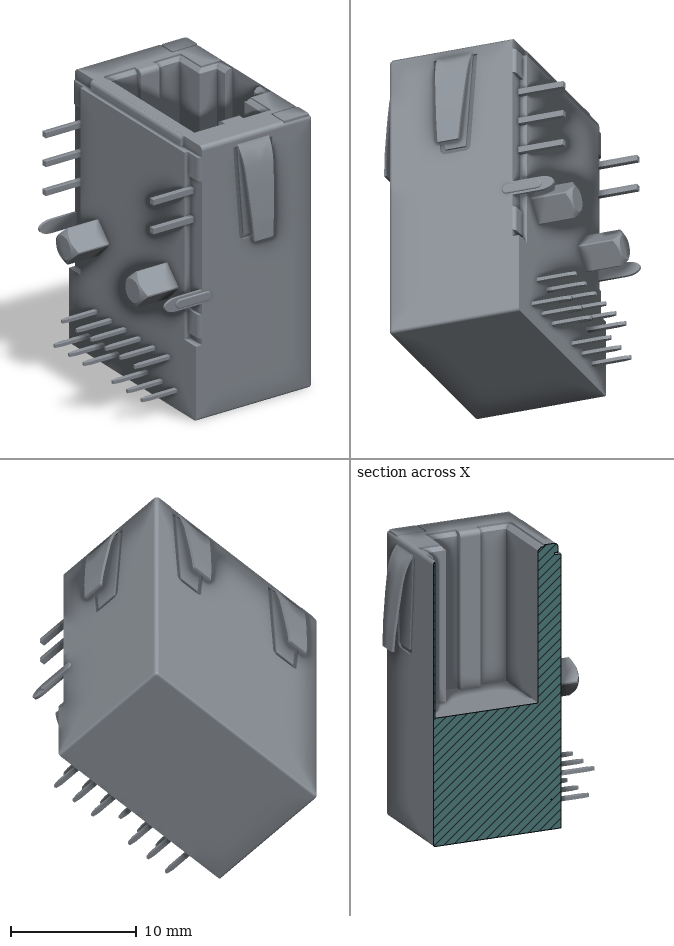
import cadquery as cq


width = 17.81
depth = 11.27
height = 24.05
half_width = width / 2
back_fillet = 0.31
bottom_fillet = 0.22
top_fillet = 0.38
shell_thickness = 0.2

strip_recess = 0.58
panel_half_width = 7.3
panel_top = 23.08
strip_bottom = 6.59
lip_half_width = 6.35
lip_front = 0.3
lip_bottom = 23.2
flap_front = 0.31
flap_height = 2.07
flap_bottoms = (7.16, panel_top - flap_height)

mouth_half_width = 6.35
mouth_front = 1.5
mouth_shoulder = 9.05
key_half_width = 3.5
key_back = 10.72
mouth_step = 0.15
mouth_corner = 0.25
key_ledge_back = 10.99
step_inset = 0.1
step_front_inset = 0.3
mouth_chamfer = 0.3
cavity_depth = 13.22
latch_half_width = 2.02
latch_rim_half_width = 2.52
rib_half_gap = 5.4
rib_front = 4.57
rib_back = 6.35
rib_fillet = 0.45

pad_x = (7.02, 8.63)
pad_y = (8.7, 11.15)
pad_fillet = 0.2
pocket_margin = 0.12
pocket_depth = 0.2

spring_reach = 1.56
spring_thickness = 0.22
spring_top = 23.37
spring_tip = 15.25
spring_top_half = 1.51
spring_tip_half = 0.9
spring_gap = 0.38
slot_corner = 0.48
side_spring_y = 5.5
back_spring_x = 5.26

pin_length = 3.35
side_pin_size = 0.48
side_pin_pitch = 2.55
side_pin_top_z = 19.75
signal_pin_width = 0.4
signal_pin_thickness = 0.3
signal_tip_width = 0.22
signal_taper = 0.6
lower_row_span = 12.21
signal_pitch = lower_row_span / 6
upper_row_z = 4.23
lower_row_z = 1.68
post_x = 4.85
post_z = 10.85
post_side = 2.33
post_corner_radius = 1.59
post_tip_radius = 1.0
post_taper = 0.38
tab_z = 10.82
tab_thickness = 0.25
tab_height = 1.18
tab_back = 0.95
tab_straight_end = -1.8
tab_end = -3.0
bead_back = 1.45
bead_front = -1.97
bead_height = 0.8
bead_protrusion = 0.12
bead_fillet = 0.1


def block(x_range, y_range, z_range):
    """Axis-aligned box spanning three (low, high) ranges."""
    sizes = [high - low for low, high in (x_range, y_range, z_range)]
    corner = (x_range[0], y_range[0], z_range[0])
    return cq.Workplane("XY").box(*sizes, centered=False).translate(corner)


def both_sides(solid):
    """A solid together with its mirror image across the YZ plane."""
    return solid.union(solid.mirror("YZ"))


def make_housing():
    body = block((-half_width, half_width), (0, depth), (0, height))
    body = body.edges("|Z and >Y").fillet(back_fillet)
    body = body.faces("<Z").edges("not <Y").fillet(bottom_fillet)
    body = body.faces(">Z").edges("not <Y").fillet(top_fillet)
    strip = block((panel_half_width, half_width + 0.25), (-0.25, strip_recess), (strip_bottom, height))
    cap_front = block((-half_width, half_width), (-0.25, strip_recess), (panel_top, height + 0.25))
    return body.cut(both_sides(strip)).cut(cap_front)


def make_lip():
    lip = block((-lip_half_width, lip_half_width), (lip_front, strip_recess + 0.48), (lip_bottom, height))
    return lip.edges("|X and >Z and <Y").fillet(top_fillet)


def make_flap(bottom):
    flap = block(
        (panel_half_width, half_width),
        (flap_front, strip_recess + 0.48),
        (bottom, bottom + flap_height),
    )
    return flap.edges("|Z and >X and <Y").fillet(top_fillet)


def make_pad_pocket():
    return block(
        (pad_x[0] - pocket_margin, half_width + 0.25),
        (pad_y[0] - pocket_margin, depth + 0.25),
        (height - pocket_depth, height + 0.25),
    )


def make_pad():
    return block(pad_x, pad_y, (height - 2 * pocket_depth, height)).edges("|Z").fillet(pad_fillet)


def mouth_outline(z, inset, front_inset):
    """Stepped outline of the jack opening, pulled inward by the insets."""
    wide = mouth_half_width - inset
    narrow = key_half_width - inset
    front = mouth_front + front_inset
    shoulder = mouth_shoulder - inset
    back = key_back - inset
    right_side = [(wide, front), (wide, shoulder), (narrow, shoulder), (narrow, back)]
    left_side = [(-x, y) for x, y in reversed(right_side)]
    return cq.Workplane("XY", origin=(0, 0, z)).polyline(right_side + left_side).close()


def make_cavity():
    rim = mouth_outline(height, 0, 0).extrude(-mouth_step).edges("|Z and <Y").fillet(mouth_corner)
    chamfer_top = height - mouth_step
    chamfer = mouth_outline(chamfer_top, step_inset, step_front_inset).extrude(-mouth_chamfer, taper=45)
    well_inset = step_inset + mouth_chamfer
    well_front_inset = step_front_inset + mouth_chamfer
    well = mouth_outline(height, well_inset, well_front_inset).extrude(-cavity_depth)
    key_ledge = block(
        (-key_half_width, key_half_width),
        (mouth_shoulder, key_ledge_back),
        (height - mouth_step, height + 0.25),
    )
    latch_channel = block(
        (-latch_half_width, latch_half_width),
        (mouth_shoulder, depth - shell_thickness),
        (height - cavity_depth, height + 0.25),
    )
    latch_rim = block(
        (-latch_rim_half_width, latch_rim_half_width),
        (key_ledge_back, depth - shell_thickness),
        (height - top_fillet, height + 0.25),
    )
    cavity = rim.union(chamfer).union(well)
    return cavity.union(key_ledge).union(latch_channel).union(latch_rim)


def make_rib():
    """Contact rib on a side wall of the cavity, rounded over at the mouth."""
    rib = block(
        (rib_half_gap, mouth_half_width + 0.25),
        (rib_front, rib_back),
        (height - cavity_depth, height),
    )
    return rib.edges("|Y and >Z and <X").fillet(rib_fillet)


def taper_outline(gap):
    """Tapered spring outline in local (across, Z), grown by a gap at the sides and bottom."""
    top_half = spring_top_half + gap
    tip_half = spring_tip_half + gap
    top = spring_top - gap / 2
    bottom = spring_tip - gap
    return [(-top_half, top), (-tip_half, bottom), (tip_half, bottom), (top_half, top)]


def make_spring():
    """Leaf spring leaning out of a wall at X = 0 toward +X, centred on Y = 0."""
    root = (0, spring_top)
    tip = (spring_reach, spring_tip)
    outer = [root, (0.55, 22.55), (0.9, 21.52), (1.23, 19.06), (1.5, 16.7), tip]
    inner = [(out - spring_thickness, z) for out, z in reversed(outer)]
    leaf = (
        cq.Workplane("XZ", origin=(0, spring_top_half, 0))
        .spline(outer)
        .lineTo(*inner[0])
        .spline(inner[1:], includeCurrent=True)
        .close()
        .extrude(2 * spring_top_half)
    )
    trim = cq.Workplane("YZ").polyline(taper_outline(0)).close()
    return leaf.intersect(trim.extrude(2 * spring_reach, both=True))


def make_spring_slot():
    """Shallow slot around the spring, leaving the wall behind the leaf in place."""
    slot = cq.Workplane("YZ").polyline(taper_outline(spring_gap)).close().extrude(-shell_thickness)
    slot = slot.edges("|X and <Z").fillet(slot_corner)
    leaf = cq.Workplane("YZ").polyline(taper_outline(0)).close().extrude(-shell_thickness)
    return slot.cut(leaf)


def place_on_walls(solid):
    """Copies of a +X wall feature: one on each side wall and two on the back wall."""
    side = solid.translate((half_width, side_spring_y, 0))
    back = solid.rotate((0, 0, 0), (0, 0, 1), 90).translate((back_spring_x, depth, 0))
    return both_sides(side.union(back))


def make_side_pin(side, row):
    """Square pin beside the centre panel; side is -1 or 1, row counts down from the top."""
    z = side_pin_top_z - row * side_pin_pitch
    pin = block(
        (panel_half_width, panel_half_width + side_pin_size),
        (-pin_length, strip_recess + 0.25),
        (z - side_pin_size / 2, z + side_pin_size / 2),
    )
    return pin if side > 0 else pin.mirror("YZ")


def make_signal_pin(x, z):
    """Flat pin whose end narrows in X."""
    root = signal_pin_width / 2
    tip = signal_tip_width / 2
    shoulder = -pin_length + signal_taper
    outline = [(root, 0.25), (root, shoulder), (tip, -pin_length)]
    outline += [(-px, py) for px, py in reversed(outline)]
    pin = cq.Workplane("XY").polyline(outline).close().extrude(signal_pin_thickness)
    return pin.translate((x, 0, z - signal_pin_thickness / 2))


def make_post():
    """Square peg standing on its corner, its end turned down to a cone."""
    peg = cq.Workplane("XZ", origin=(0, 0.25, 0)).rect(post_side, post_side).extrude(pin_length + 0.25)
    peg = peg.rotate((0, 0, 0), (0, 1, 0), 45)
    turned = (
        cq.Workplane("XY")
        .moveTo(0, 0.25)
        .lineTo(post_corner_radius, 0.25)
        .lineTo(post_corner_radius, -pin_length + post_taper)
        .lineTo(post_tip_radius, -pin_length)
        .lineTo(0, -pin_length)
        .close()
        .revolve(360, (0, 0, 0), (0, 1, 0))
    )
    return peg.intersect(turned).translate((post_x, 0, post_z))


def make_ground_tab():
    """Round-ended tab continuing the side wall, stiffened by a raised bead."""
    half_height = tab_height / 2
    blade = block(
        (-tab_thickness, 0),
        (tab_straight_end, tab_back),
        (-half_height, half_height),
    )
    rounded_end = (
        cq.Workplane("YZ", origin=(0, tab_straight_end, 0))
        .ellipse(tab_straight_end - tab_end, half_height)
        .extrude(-tab_thickness)
    )
    bead = (
        cq.Workplane("YZ", origin=(-tab_thickness, (bead_back + bead_front) / 2, 0))
        .slot2D(bead_back - bead_front, bead_height)
        .extrude(tab_thickness + bead_protrusion)
        .faces(">X")
        .edges()
        .fillet(bead_fillet)
    )
    return blade.union(rounded_end).union(bead).translate((half_width, 0, tab_z))


result = make_housing().union(make_lip())
for flap_bottom in flap_bottoms:
    result = result.union(both_sides(make_flap(flap_bottom)))
result = result.cut(both_sides(make_pad_pocket())).union(both_sides(make_pad()))

result = result.cut(make_cavity()).union(both_sides(make_rib()))

result = result.cut(place_on_walls(make_spring_slot())).union(place_on_walls(make_spring()))

for side, count in ((-1, 3), (1, 2)):
    for row in range(count):
        result = result.union(make_side_pin(side, row))

for step in (-2.5, -1.5, -0.5, 0.5, 1.5, 2.5):
    result = result.union(make_signal_pin(step * signal_pitch, upper_row_z))
for step in (-3, -2, -1, 1, 2, 3):
    result = result.union(make_signal_pin(step * signal_pitch, lower_row_z))

result = result.union(both_sides(make_post())).union(both_sides(make_ground_tab()))